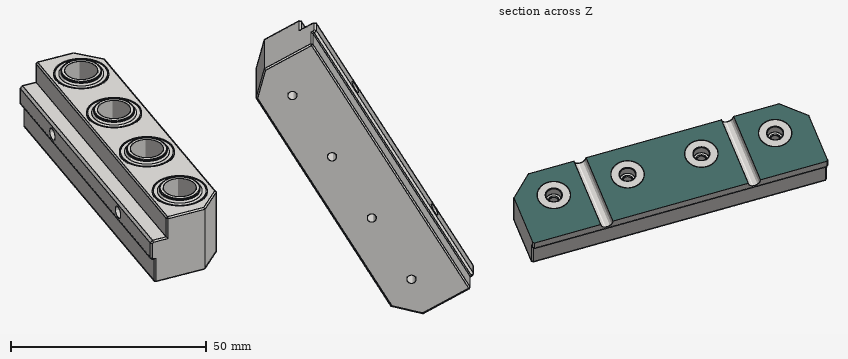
import cadquery as cq

tolerance = 0.01

length = 80.0
body_depth = 20.2
body_height = 19.0
corner_cut = 6.0
edge_chamfer = 0.4

rail_overhang = 1.0
rail_bottom = 7.0
rail_top = 13.0
rail_chamfer = 0.6
ledge_depth = 4.5
depth = body_depth + rail_overhang
rail_middle = (rail_bottom + rail_top) / 2

mount_diameter = 3.2
mount_spacing = length / 2

socket_count = 4
socket_pitch = length / socket_count
socket_y = 12.8
collar_base_diameter = 11.5
collar_shoulder_diameter = 10.5
collar_top_diameter = 10.1
collar_height = 1.0
collar_taper_height = collar_height / 2
collar_chamfer = (collar_shoulder_diameter - collar_top_diameter) / 2
collar_top = body_height + collar_height

groove_outer_diameter = 14.2
groove_inner_diameter = 13.5

bore_diameter = 8.5
bore_depth = 10.0
seat_diameter = 4.1
seat_depth = 2.4
seat_rim_diameter = 4.4
outlet_diameter = 2.3
outlet_rim_diameter = 2.8


def make_body():
    """Bar with a front rail, cut rear corners and broken edges."""
    profile = [
        (rail_overhang, 0),
        (depth, 0),
        (depth, body_height),
        (ledge_depth, body_height),
        (ledge_depth, rail_top),
        (rail_chamfer, rail_top),
        (0, rail_top - rail_chamfer),
        (0, rail_bottom + rail_chamfer),
        (rail_chamfer, rail_bottom),
        (rail_overhang, rail_bottom),
    ]
    bar = cq.Workplane("YZ").polyline(profile).close().extrude(length)
    bar = bar.edges("|Z and >Y").chamfer(corner_cut)

    long_edges = bar.edges("|X").filter(is_body_corner).vals()
    end_edges = bar.faces("<X or >X").edges().filter(is_not_corner_cut).vals()
    slope_edges = bar.edges("(not |X) and (not |Y) and (not |Z)").filter(is_horizontal).vals()
    return bar.newObject(long_edges + end_edges + slope_edges).chamfer(edge_chamfer)


def is_body_corner(edge):
    """True for edges at the top or the underside of the body."""
    return not tolerance < edge.Center().z < body_height - tolerance


def is_horizontal(edge):
    """True for edges that keep one height."""
    return abs(edge.startPoint().z - edge.endPoint().z) < tolerance


def is_not_corner_cut(edge):
    """True for edges in front of the cut rear corners."""
    return edge.Center().y < depth - corner_cut - tolerance


def revolve_about_z(outline):
    """Solid of revolution about Z from (radius, height) points."""
    return cq.Workplane("XZ").polyline(outline).close().revolve(360, (0, 0), (0, 1))


def make_collar():
    """Collar with a tapered foot and a chamfered rim, standing on the top face."""
    return revolve_about_z([
        (0, body_height - collar_height),
        (collar_base_diameter / 2, body_height - collar_height),
        (collar_base_diameter / 2, body_height),
        (collar_shoulder_diameter / 2, body_height + collar_taper_height),
        (collar_shoulder_diameter / 2, collar_top - collar_chamfer),
        (collar_top_diameter / 2, collar_top),
        (0, collar_top),
    ])


def make_groove():
    """Groove with a vertical outer wall and a bevelled inner wall."""
    groove_depth = (groove_outer_diameter - groove_inner_diameter) / 2
    return revolve_about_z([
        (groove_inner_diameter / 2, body_height),
        (groove_outer_diameter / 2, body_height - groove_depth),
        (groove_outer_diameter / 2, body_height),
    ])


def make_bore():
    """Stepped bore with chamfered rims, open at the underside."""
    bore_floor = collar_top - bore_depth
    seat_floor = bore_floor - seat_depth
    seat_chamfer = (seat_rim_diameter - seat_diameter) / 2
    outlet_chamfer = (outlet_rim_diameter - outlet_diameter) / 2
    return revolve_about_z([
        (0, 0),
        (outlet_diameter / 2, 0),
        (outlet_diameter / 2, seat_floor - outlet_chamfer),
        (outlet_rim_diameter / 2, seat_floor),
        (seat_diameter / 2, seat_floor),
        (seat_diameter / 2, bore_floor - seat_chamfer),
        (seat_rim_diameter / 2, bore_floor),
        (bore_diameter / 2, bore_floor),
        (bore_diameter / 2, collar_top),
        (0, collar_top),
    ])


def add_socket(part, x):
    """Add one collar with its groove and bore at position x."""
    place = (x, socket_y, 0)
    part = part.union(make_collar().translate(place))
    part = part.cut(make_groove().translate(place))
    return part.cut(make_bore().translate(place))


def cut_mounting_hole(part, x):
    """Drill one mounting hole from front to back at position x."""
    hole = (
        cq.Workplane("XZ", origin=(x, 0, rail_middle))
        .circle(mount_diameter / 2)
        .extrude(-depth)
    )
    return part.cut(hole)


result = make_body()

for index in range(socket_count):
    result = add_socket(result, (index + 0.5) * socket_pitch)

for side in (-1, 1):
    result = cut_mounting_hole(result, (length + side * mount_spacing) / 2)